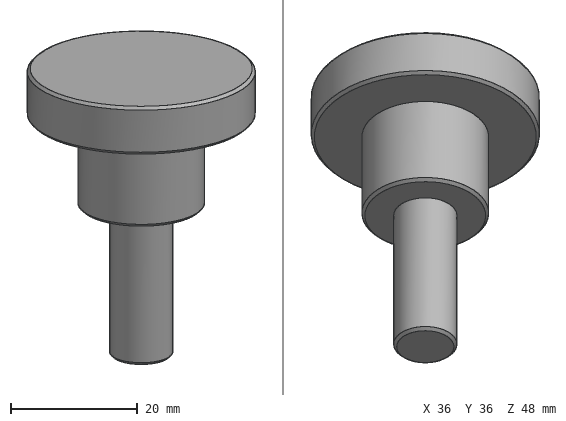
import cadquery as cq

total_height = 48.0
head_diameter = 36.0
head_height = 8.0
hub_diameter = 20.0
hub_height = 15.0
pin_diameter = 10.0
edge_chamfer = 0.5

pin_length = total_height - head_height - hub_height


def disc(diameter, height, base_z, chamfered_edges):
    """Upright cylinder with the selected rim edges chamfered."""
    body = cq.Workplane("XY").workplane(offset=base_z).circle(diameter / 2).extrude(height)
    return body.edges(chamfered_edges).chamfer(edge_chamfer)


pin = disc(pin_diameter, pin_length, 0, "<Z")
hub = disc(hub_diameter, hub_height, pin_length, "<Z")
head = disc(head_diameter, head_height, pin_length + hub_height, "%CIRCLE")

result = pin.union(hub).union(head)